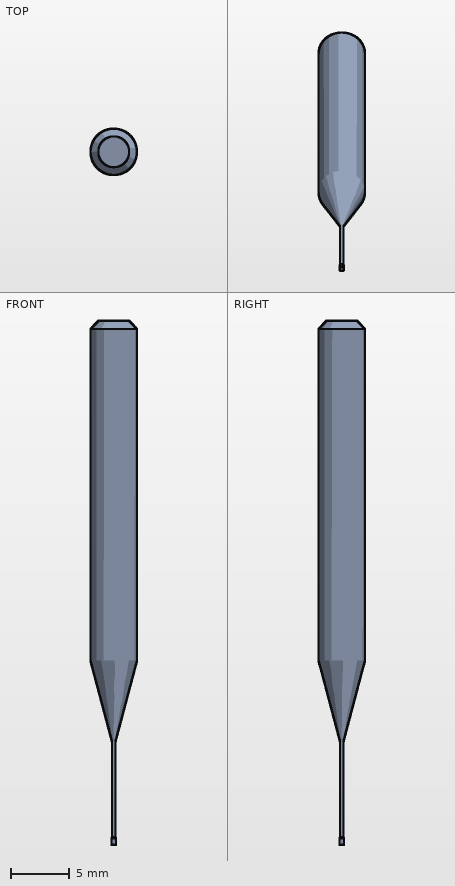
import cadquery as cq

total_length = 45
shank_diameter = 4.0
shank_radius = shank_diameter / 2

chamfer_height = 0.7
chamfer_width = 0.68

taper_top = 15.8
taper_bottom = 9.1
neck_top = 8.85
neck_bottom = 0.68
cutter_length = 0.55

cutter_radius = 0.202
neck_radius = 0.155
collar_radius = 0.215


def make_shank():
    """Shank, taper, short collar and slender neck, turned as one body."""
    profile = [
        (0, cutter_length),
        (cutter_radius, cutter_length),
        (neck_radius, neck_bottom),
        (neck_radius, neck_top),
        (collar_radius, taper_bottom),
        (shank_radius, taper_top),
        (shank_radius, total_length - chamfer_height),
        (shank_radius - chamfer_width, total_length),
        (0, total_length),
    ]
    return cq.Workplane("XZ").polyline(profile).close().revolve(360, (0, 0, 0), (0, 1, 0))


def make_cutter():
    """Plain cylindrical cutting head, flush against the flared end of the neck."""
    return cq.Workplane("XY").circle(cutter_radius).extrude(cutter_length)


shank = make_shank()
cutter = make_cutter()

result = cq.Compound.makeCompound([shank.val(), cutter.val()])